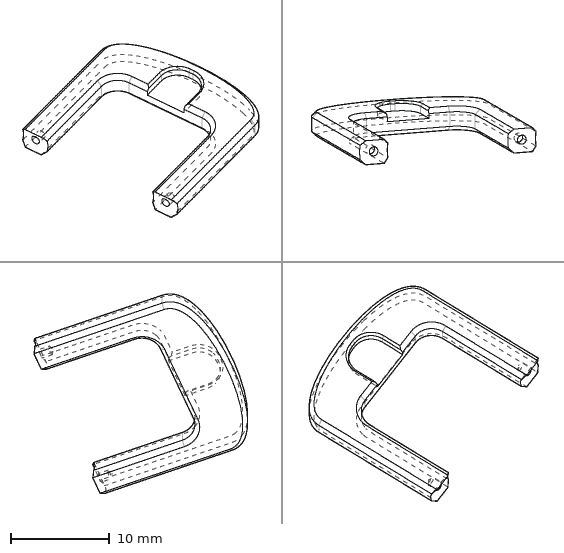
import cadquery as cq
import math

width = 19.0
length = 18.0
thickness = 2.5
leg_width = 3.0
leg_length = 12.0
inner_radius = 2.0
crown_height = 3.8
shoulder_pull = 4.05
edge_chamfer = 0.5

recess_width = 4.5
recess_end = 16.5
recess_depth = 1.0
recess_radius = 2.0
recess_chamfer = 0.25

seat_radius = 2.0
hole_diameter = 0.93
hole_depth = 1.0
drill_point_angle = 118.0

half_width = width / 2
half_gap = half_width - leg_width
shoulder = length - crown_height
half_thickness = thickness / 2
leg_center = half_width - leg_width / 2
seat_axis = -math.sqrt(seat_radius**2 - half_thickness**2)
seat_bottom = seat_axis + seat_radius


def outer_profile():
    """Outline with straight sides and a crown that meets them without a corner."""
    handle_y = shoulder + shoulder_pull
    peak_handle_y = (16 * length - 2 * shoulder - 8 * handle_y) / 6
    return (
        cq.Workplane("XY")
        .workplane(offset=-half_thickness)
        .moveTo(-half_width, 0)
        .lineTo(half_width, 0)
        .lineTo(half_width, shoulder)
        .bezier([
            (half_width, shoulder),
            (half_width, handle_y),
            (0, peak_handle_y),
            (-half_width, handle_y),
            (-half_width, shoulder),
        ])
        .close()
    )


def body():
    """U-shaped plate, chamfered along every long edge but square at the leg tips."""
    plate = outer_profile().extrude(thickness)
    gap = (
        cq.Workplane("XY")
        .box(2 * half_gap, leg_length, thickness, centered=(True, False, True))
        .edges("|Z and >Y")
        .fillet(inner_radius)
    )
    plate = plate.cut(gap)
    tip_box = cq.selectors.BoxSelector(
        (-width, -edge_chamfer, -thickness), (width, edge_chamfer, thickness)
    )
    long_edges = cq.selectors.SubtractSelector(cq.selectors.StringSyntaxSelector("#Z"), tip_box)
    return plate.faces("|Z").edges(long_edges).chamfer(edge_chamfer)


def recess_slab(margin, height):
    """Round-cornered slab from the bridge into the plate, grown sideways by margin."""
    start = leg_length / 2
    end = recess_end + margin
    return (
        cq.Workplane("XY")
        .box(recess_width + 2 * margin, end - start, height, centered=(True, False, False))
        .edges("|Z and >Y")
        .fillet(recess_radius + margin)
        .translate((0, start, 0))
    )


def recess():
    """Recess with straight walls and a chamfered rim."""
    walls = recess_slab(0, recess_depth)
    walls = walls.translate((0, 0, half_thickness - recess_depth))
    rim = recess_slab(recess_chamfer, recess_depth)
    rim = rim.faces("<Z").edges().chamfer(recess_chamfer)
    rim = rim.translate((0, 0, half_thickness - recess_chamfer))
    return walls.union(rim)


def tip_seat():
    """Cylinder along X that hollows both leg tips."""
    return (
        cq.Workplane("YZ")
        .workplane(offset=-half_width)
        .center(seat_axis, 0)
        .circle(seat_radius)
        .extrude(width)
    )


def tip_hole(x):
    """Drilled hole along a leg, starting at its tip."""
    radius = hole_diameter / 2
    straight_end = seat_bottom + hole_depth
    point = straight_end + radius / math.tan(math.radians(drill_point_angle / 2))
    return (
        cq.Workplane("XY")
        .polyline([(0, 0), (radius, 0), (radius, straight_end), (0, point)])
        .close()
        .revolve(360, (0, 0, 0), (0, 1, 0))
        .translate((x, 0, 0))
    )


result = body().cut(recess()).cut(tip_seat())
for side in (-1, 1):
    result = result.cut(tip_hole(side * leg_center))